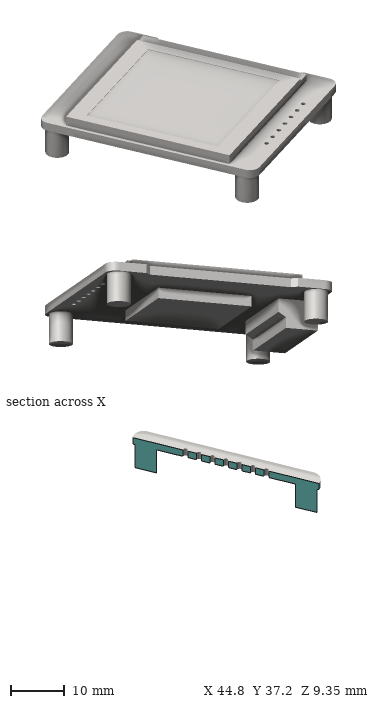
import cadquery as cq

board_length = 44.8
board_width = 37.2
board_thickness = 1.7
corner_radius = 2.0

relief_depth = 0.85
relief_outer_inset = 7.35
relief_inner_inset = 8.4

display_length = 33.7
display_front_inset = 0.65
display_rear_inset = 2.5
display_height = 1.9
display_width = board_width - display_front_inset - display_rear_inset
ledge_width = 2.75
ledge_drop = 0.5
window_size = 27.0
window_front_inset = 2.7
window_depth = 0.1

pin_count = 7
pin_pitch = 2.7
pin_diameter = 0.9
pin_edge_inset = 2.5

post_diameter = 4.5
post_height = 5.75
post_inset_x = 2.8
post_inset_y = 2.6

connector_width = 18.1
connector_height = 5.55
connector_top_length = 7.8
connector_bottom_length = 6.3
connector_slope_top = 2.6
connector_slope_bottom = 3.5
connector_front = (board_width - connector_width) / 2
block_length = 18.45
block_height = 2.0

center_x = board_length / 2
center_y = board_width / 2


def box_at(center, size, bottom):
    """Make a box centered on an XY point, standing on the given Z level."""
    return (
        cq.Workplane("XY")
        .box(*size, centered=(True, True, False))
        .translate((*center, bottom))
    )


def make_board():
    board = (
        cq.Workplane("XY")
        .rect(board_length, board_width, centered=False)
        .extrude(board_thickness)
        .edges("|Z")
        .fillet(corner_radius)
    )
    relief_edge = board_width - relief_depth
    relief = (
        cq.Workplane("XY")
        .moveTo(relief_outer_inset, board_width)
        .lineTo(relief_inner_inset, relief_edge)
        .lineTo(board_length - relief_inner_inset, relief_edge)
        .lineTo(board_length - relief_outer_inset, board_width)
        .close()
        .extrude(board_thickness)
    )
    pin_holes = (
        cq.Workplane("XY")
        .center(board_length - pin_edge_inset, center_y)
        .rarray(0.45, pin_pitch, 1, pin_count)
        .circle(pin_diameter / 2)
        .extrude(board_thickness)
    )
    return board.cut(relief).cut(pin_holes)


def make_display():
    display_top = board_thickness + display_height
    display_rear = board_width - display_rear_inset
    body = box_at(
        (center_x, display_front_inset + display_width / 2),
        (display_length, display_width, display_height),
        board_thickness,
    )
    ledge = box_at(
        (center_x, display_rear - ledge_width / 2),
        (display_length, ledge_width, ledge_drop),
        display_top - ledge_drop,
    )
    window = box_at(
        (center_x, window_front_inset + window_size / 2),
        (window_size, window_size, window_depth),
        display_top - window_depth,
    )
    return body.cut(ledge).cut(window)


def make_posts():
    return (
        cq.Workplane("XY")
        .center(center_x, center_y)
        .rect(board_length - 2 * post_inset_x, board_width - 2 * post_inset_y, forConstruction=True)
        .vertices()
        .circle(post_diameter / 2)
        .extrude(-post_height)
    )


def make_connector():
    """Connector flush with the left edge, its inner face stepped by a slope."""
    return (
        cq.Workplane("XZ", origin=(0, connector_front, 0))
        .lineTo(connector_top_length, 0)
        .lineTo(connector_top_length, -connector_slope_top)
        .lineTo(connector_bottom_length, -connector_slope_bottom)
        .lineTo(connector_bottom_length, -connector_height)
        .lineTo(0, -connector_height)
        .close()
        .extrude(-connector_width)
    )


def make_block():
    """Low component block in the middle, as wide as the connector."""
    return box_at(
        (center_x, center_y),
        (block_length, connector_width, block_height),
        -block_height,
    )


result = (
    make_board()
    .union(make_display())
    .union(make_posts())
    .union(make_connector())
    .union(make_block())
)